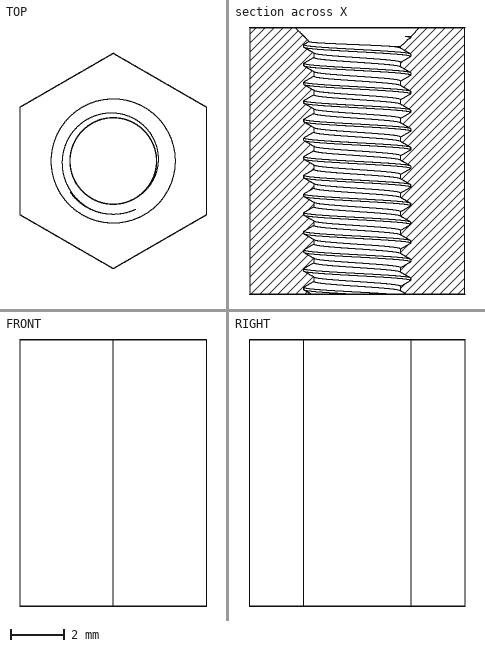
import cadquery as cq
import math

HEX_SIDES = 6
ACROSS_FLATS = 7.0
LENGTH = 10.0
THREAD_MAJOR_DIAMETER = 4.0
THREAD_PITCH = 0.7
FLANK_HALF_ANGLE = 30.0
COUNTERSINK_DIAMETER = 4.66
COUNTERSINK_HALF_ANGLE = 45.0
THREAD_START_ANGLE = -21.0

sharp_height = THREAD_PITCH * math.sqrt(3) / 2
thread_depth = sharp_height * 5 / 8
major_radius = THREAD_MAJOR_DIAMETER / 2
minor_radius = major_radius - thread_depth
root_width = THREAD_PITCH / 8

overrun = 2 * THREAD_PITCH
bore_overlap = 0.05


def hexagonal_body():
    """Hexagonal bar with two flats facing -X and +X and corners on the Y axis."""
    half_side_angle = 180 / HEX_SIDES
    across_corners = ACROSS_FLATS / math.cos(math.radians(half_side_angle))
    bar = cq.Workplane("XY").polygon(HEX_SIDES, across_corners).extrude(LENGTH)
    return bar.rotate((0, 0, 0), (0, 0, 1), half_side_angle)


def bore():
    """Through hole at the thread minor diameter."""
    return cq.Workplane("XY").circle(minor_radius).extrude(LENGTH)


def countersink():
    """Cone that opens the bore at the top face."""
    rim_radius = COUNTERSINK_DIAMETER / 2
    depth = (rim_radius - minor_radius) / math.tan(math.radians(COUNTERSINK_HALF_ANGLE))
    cone = cq.Solid.makeCone(minor_radius, rim_radius, depth, cq.Vector(0, 0, LENGTH - depth))
    return cq.Workplane("XY").add(cone)


def groove_corner_helix(radius, height_offset):
    """Right-handed helix traced by one corner of the groove section."""
    helix = cq.Wire.makeHelix(THREAD_PITCH, LENGTH + 2 * overrun, radius)
    return helix.translate(cq.Vector(0, 0, height_offset - overrun))


def thread_groove():
    """Helical V-groove with a flat root, closed by a flat cap at each end."""
    inner_radius = minor_radius - bore_overlap
    half_root = root_width / 2
    half_mouth = half_root + (major_radius - inner_radius) * math.tan(math.radians(FLANK_HALF_ANGLE))
    corners = [
        groove_corner_helix(inner_radius, -half_mouth),
        groove_corner_helix(major_radius, -half_root),
        groove_corner_helix(major_radius, half_root),
        groove_corner_helix(inner_radius, half_mouth),
    ]

    faces = []
    for corner, next_corner in zip(corners, corners[1:] + corners[:1]):
        faces += cq.Face.makeRuledSurface(corner, next_corner).Faces()
    for cap_points in (
        [corner.startPoint() for corner in corners],
        [corner.endPoint() for corner in corners],
    ):
        faces.append(cq.Face.makeFromWires(cq.Wire.makePolygon(cap_points, close=True)))

    groove = cq.Solid.makeSolid(cq.Shell.makeShell(faces))
    return cq.Workplane("XY").add(groove).rotate((0, 0, 0), (0, 0, 1), THREAD_START_ANGLE)


result = hexagonal_body().cut(bore()).cut(countersink()).cut(thread_groove())